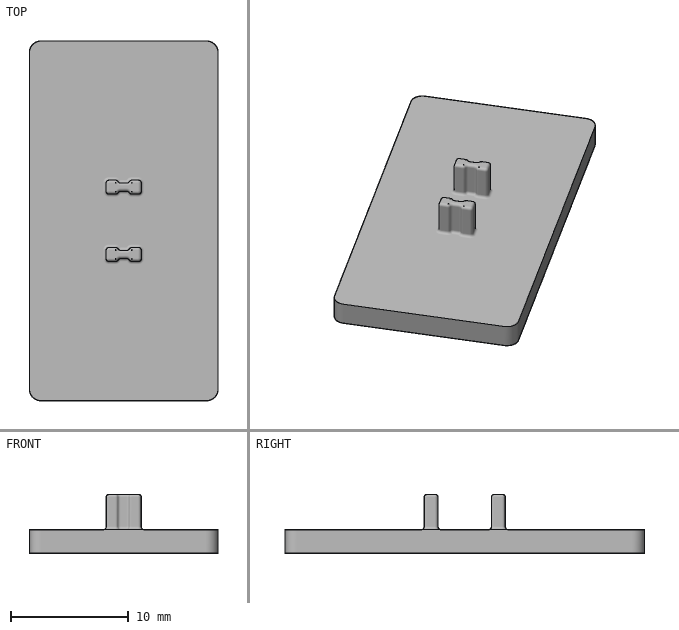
import cadquery as cq
import math

PLATE_WIDTH = 16.05
PLATE_LENGTH = 30.55
PLATE_THICKNESS = 2.02
PLATE_CORNER_RADIUS = 1.0

TOTAL_HEIGHT = 5.0
PIN_SPACING = 5.7
PIN_LENGTH = 3.0
PIN_WIDTH = 1.2
PIN_CORNER_RADIUS = 0.25
PIN_TOP_RADIUS = 0.247
PIN_FOOT_RADIUS = PIN_CORNER_RADIUS

WAIST_WIDTH = 0.7
WAIST_FLAT_LENGTH = 0.52

SELECTION_MARGIN = 0.03

PIN_HEIGHT = TOTAL_HEIGHT - PLATE_THICKNESS


def make_plate():
    """Flat plate with rounded corners, its underside at Z = 0."""
    plate = cq.Workplane("XY").box(PLATE_WIDTH, PLATE_LENGTH, PLATE_THICKNESS, centered=(True, True, False))
    return plate.edges("|Z").fillet(PLATE_CORNER_RADIUS)


def make_waist_cutter():
    """Notch for the +Y side of a pin: a flat bottom with S-curves rising tangent to the pin side."""
    side_y = PIN_WIDTH / 2
    bottom_y = WAIST_WIDTH / 2
    flat_x = WAIST_FLAT_LENGTH / 2

    radius_sum = 2 * PIN_CORNER_RADIUS
    sweep = math.acos(1 - (side_y - bottom_y) / radius_sum)
    turn_x = flat_x + PIN_CORNER_RADIUS * math.sin(sweep)
    turn_y = bottom_y + PIN_CORNER_RADIUS * (1 - math.cos(sweep))
    rim_x = flat_x + radius_sum * math.sin(sweep)

    hollow_mid_x = flat_x + PIN_CORNER_RADIUS * math.sin(sweep / 2)
    hollow_mid_y = bottom_y + PIN_CORNER_RADIUS * (1 - math.cos(sweep / 2))
    crest_mid_x = rim_x - PIN_CORNER_RADIUS * math.sin(sweep / 2)
    crest_mid_y = side_y - PIN_CORNER_RADIUS * (1 - math.cos(sweep / 2))

    return (
        cq.Workplane("XY")
        .moveTo(-flat_x, bottom_y)
        .lineTo(flat_x, bottom_y)
        .threePointArc((hollow_mid_x, hollow_mid_y), (turn_x, turn_y))
        .threePointArc((crest_mid_x, crest_mid_y), (rim_x, side_y))
        .lineTo(-rim_x, side_y)
        .threePointArc((-crest_mid_x, crest_mid_y), (-turn_x, turn_y))
        .threePointArc((-hollow_mid_x, hollow_mid_y), (-flat_x, bottom_y))
        .close()
        .extrude(PIN_HEIGHT)
    )


def make_pin():
    """Rounded bar narrowed at the middle, with a rounded top edge, standing on Z = 0."""
    bar = cq.Workplane("XY").box(PIN_LENGTH, PIN_WIDTH, PIN_HEIGHT, centered=(True, True, False))
    bar = bar.edges("|Z").fillet(PIN_CORNER_RADIUS)
    notch = make_waist_cutter()
    pin = bar.cut(notch).cut(notch.mirror("XZ"))
    return pin.faces(">Z").edges().fillet(PIN_TOP_RADIUS)


def round_pin_feet(part):
    """Blend each pin into the plate's top face."""
    box_low = (-PIN_LENGTH, -PIN_SPACING, PLATE_THICKNESS - SELECTION_MARGIN)
    box_high = (PIN_LENGTH, PIN_SPACING, PLATE_THICKNESS + SELECTION_MARGIN)
    foot_edges = part.edges(cq.selectors.BoxSelector(box_low, box_high))
    return foot_edges.fillet(PIN_FOOT_RADIUS)


result = make_plate()
for pin_y in (-PIN_SPACING / 2, PIN_SPACING / 2):
    result = result.union(make_pin().translate((0, pin_y, PLATE_THICKNESS)))
result = round_pin_feet(result)